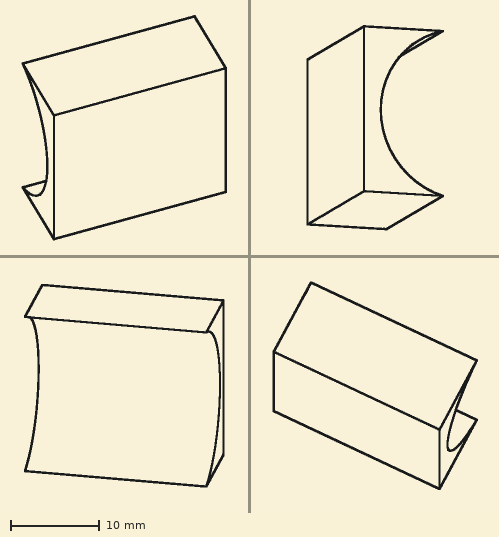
import cadquery as cq

depth = 9.39
length = 21.0
height = 19.0
web_thickness = 2.0

half_height = height / 2
trough_bottom_x = depth - web_thickness

profile = (
    cq.Workplane("XZ")
    .moveTo(0, -half_height)
    .lineTo(depth, -half_height)
    .lineTo(depth, half_height)
    .lineTo(0, half_height)
    .threePointArc((trough_bottom_x, 0), (0, -half_height))
    .close()
)

result = profile.extrude(length / 2, both=True)